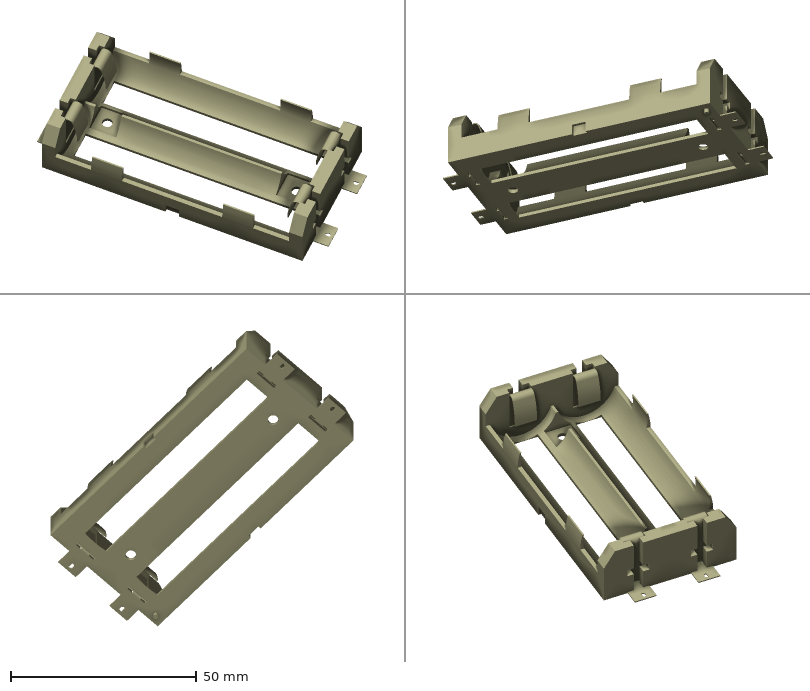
import cadquery as cq
import math

body_length = 77.0
body_width = 39.9
body_height = 16.0
wall_thickness = 3.95
rail_height = 7.0
corner_cut_width = 3.35
corner_cut_height = 4.9
overall_length = 86.0

inner_x = body_length / 2 - wall_thickness
half_width = body_width / 2

cell_y = 9.55
cell_radius = 9.55
cell_axis_z = 9.6
slot_length = 63.8
slot_width = 7.9

tab_x = 19.35
tab_length = 9.1
tab_top_z = 11.9
tab_tip_thickness = 0.4

pad_x = 27.5
pad_length = 7.8
pad_width = 8.0
pad_z = 1.0
screw_x = 27.95
screw_diameter = 2.8

notch_width = 3.95
notch_height = 3.0
notch_depth = 0.9

pin_x = -36.4
pin_y = 17.2
pin_diameter = 1.4
pin_length = 1.2

strip_thickness = 0.35
strip_width = 6.5
neck_width = 2.8
neck_depth = 2.4
ledge_z = 3.95
window_height = 2.1
window_z = 7.0
blade_x = 35.5
bend_radius = 0.4
spring_top_z = 15.5
crown_radius = 1.6
lean_angle = 23
leg_radius = 19.35
blade_clearance = 0.3
solder_hole_x = 41.4
solder_hole_diameter = 1.55
solder_hole_flat = 0.3

slot_back_x = body_length / 2 - neck_depth


def box(x_range, y_range, z_range):
    """Box between the given pairs of limits."""
    (x0, x1), (y0, y1), (z0, z1) = x_range, y_range, z_range
    return cq.Workplane("XY").box(x1 - x0, y1 - y0, z1 - z0, centered=False).translate((x0, y0, z0))


def centred_box(x, y, length, width, z0, z1):
    """Box centred on (x, y) that spans z0 to z1."""
    return box((x - length / 2, x + length / 2), (y - width / 2, y + width / 2), (z0, z1))


def both_y(shape):
    """Shape together with its mirror image across Y = 0."""
    return shape.union(shape.mirror("XZ"))


def both_x(shape):
    """Shape together with its mirror image across X = 0."""
    return shape.union(shape.mirror("YZ"))


def end_outline_block():
    """Full-length block with the sloped upper corners of the end walls."""
    shoulder_z = body_height - corner_cut_height
    top_y = half_width - corner_cut_width
    return (
        cq.Workplane("YZ")
        .moveTo(-half_width, 0)
        .lineTo(half_width, 0)
        .lineTo(half_width, shoulder_z)
        .lineTo(top_y, body_height)
        .lineTo(-top_y, body_height)
        .lineTo(-half_width, shoulder_z)
        .close()
        .extrude(body_length / 2, both=True)
    )


def retaining_tab():
    """Tab that rises from the rail and curls over the cell, solid until the trough is cut."""
    tip_y = cell_y + math.sqrt(cell_radius**2 - (tab_top_z - cell_axis_z) ** 2) + tab_tip_thickness
    rise = tab_top_z - rail_height
    inset = half_width - tip_y
    outer_radius = (rise**2 + inset**2) / (2 * inset)
    return (
        cq.Workplane("YZ")
        .moveTo(half_width, rail_height)
        .radiusArc((tip_y, tab_top_z), -outer_radius)
        .lineTo(cell_y, tab_top_z)
        .lineTo(cell_y, rail_height)
        .close()
        .extrude(tab_length / 2, both=True)
        .translate((tab_x, 0, 0))
    )


def frame():
    """Moulded body with end walls, side rails, tabs and open-bottomed troughs."""
    above_rails = box((-inner_x, inner_x), (-half_width, half_width), (rail_height, body_height))
    trough = (
        cq.Workplane("YZ")
        .center(cell_y, cell_axis_z)
        .circle(cell_radius)
        .extrude(inner_x, both=True)
    )
    floor_slot = centred_box(0, cell_y, slot_length, slot_width, 0, rail_height)
    tabs = both_y(both_x(retaining_tab()))
    return (
        end_outline_block()
        .cut(above_rails)
        .union(tabs)
        .cut(both_y(trough))
        .cut(both_y(floor_slot))
    )


def screw_pads():
    """Pockets down to the flat pads in the ridge, with their screw holes."""
    pad = centred_box(pad_x, 0, pad_length, pad_width, pad_z, body_height)
    screw_hole = cq.Workplane("XY").center(screw_x, 0).circle(screw_diameter / 2).extrude(pad_z)
    return both_x(pad.union(screw_hole))


def rail_notches():
    y_limits = (half_width - notch_depth, half_width)
    return both_y(box((-notch_width / 2, notch_width / 2), y_limits, (0, notch_height)))


def spring_slot():
    """Stepped slot in the end wall for one spring."""
    outer_x = body_length / 2
    neck = box((slot_back_x, outer_x), (-neck_width / 2, neck_width / 2), (0, body_height))
    strip_y = (-strip_width / 2, strip_width / 2)
    blade_front_x = blade_x - strip_thickness - blade_clearance
    blade_slot = box((blade_front_x, slot_back_x), strip_y, (0, body_height))
    mouth = box((inner_x, slot_back_x), strip_y, (ledge_z, body_height))
    window_z_limits = (window_z - window_height / 2, window_z + window_height / 2)
    window = box((slot_back_x, outer_x), strip_y, window_z_limits)
    return neck.union(blade_slot).union(mouth).union(window).translate((0, cell_y, 0))


def arc_point(centre, radius, angle):
    """Point on an arc, with the angle in degrees from +X."""
    turn = math.radians(angle)
    return (centre[0] + radius * math.cos(turn), centre[1] + radius * math.sin(turn))


def strip_face_arcs(depth):
    """Bend, crown and leg arcs at a depth below the strip's upper face, from foot to free tip.

    Each arc is its start, middle and end point.
    """
    lean_end = 180 - lean_angle
    bend_centre = (blade_x + bend_radius, strip_thickness + bend_radius)
    crown_centre = (blade_x - crown_radius, spring_top_z - crown_radius)
    leg_start = arc_point(crown_centre, crown_radius, lean_end)
    leg_centre = arc_point(leg_start, leg_radius, -lean_angle)
    arcs = [
        (bend_centre, bend_radius + depth, 270, 180),
        (crown_centre, crown_radius - depth, 0, lean_end),
        (leg_centre, leg_radius - depth, lean_end, 180),
    ]
    return [
        [arc_point(centre, radius, angle) for angle in (start, (start + end) / 2, end)]
        for centre, radius, start, end in arcs
    ]


def neck_reliefs():
    """Spaces beside the narrow neck that joins the blade to the foot."""
    strip_z = (0, strip_thickness + bend_radius)
    neck_x = (blade_x, body_length / 2)
    return both_y(box(neck_x, (neck_width / 2, strip_width / 2), strip_z))


def spring():
    """Bent strip: foot, upright blade, crown and free contact leg."""
    foot_end_x = overall_length / 2
    bend, crown, leg = strip_face_arcs(0)
    under_bend, under_crown, under_leg = strip_face_arcs(strip_thickness)
    strip = (
        cq.Workplane("XZ")
        .moveTo(foot_end_x, strip_thickness)
        .lineTo(*bend[0])
        .threePointArc(*bend[1:])
        .lineTo(*crown[0])
        .threePointArc(*crown[1:])
        .threePointArc(*leg[1:])
        .lineTo(*under_leg[2])
        .threePointArc(under_leg[1], under_leg[0])
        .threePointArc(under_crown[1], under_crown[0])
        .lineTo(*under_bend[2])
        .threePointArc(under_bend[1], under_bend[0])
        .lineTo(foot_end_x, 0)
        .close()
        .extrude(strip_width / 2, both=True)
    )
    return strip.cut(neck_reliefs()).cut(solder_hole()).translate((0, cell_y, 0))


def solder_hole():
    """Round hole in the foot with one flat towards the outer side."""
    radius = solder_hole_diameter / 2
    beyond_flat = centred_box(0, radius + solder_hole_flat, 2 * radius, 2 * radius, 0, strip_thickness)
    hole = cq.Workplane("XY").circle(radius).extrude(strip_thickness)
    return hole.cut(beyond_flat).translate((solder_hole_x, 0, 0))


def locating_pin():
    return cq.Workplane("XY").center(pin_x, pin_y).circle(pin_diameter / 2).extrude(-pin_length)


result = (
    frame()
    .cut(screw_pads())
    .cut(rail_notches())
    .cut(both_x(both_y(spring_slot())))
    .union(both_x(both_y(spring())))
    .union(locating_pin())
)